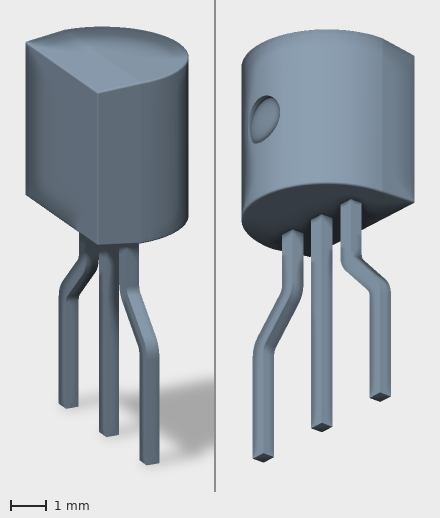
import cadquery as cq
import math

total_height = 11.29
lead_span = 5.54

back_radius = 2.4
body_size = 2 * back_radius
front_depth = 1.3
draft_angle = 5.0
edge_radius = 0.06

dimple_radius = 0.7
dimple_depth = 0.2

lead_width = 0.46
lead_thickness = 0.4
lead_embed = 0.23
inner_bend_radius = 0.3
bend_angle = math.radians(45)
upper_bend_z = 4.89

body_bottom = total_height - body_size
body_middle = total_height - body_size / 2
lead_top = body_bottom + lead_embed
lead_center_y = lead_thickness / 2

lead_pitch = (lead_span - lead_width) / 4


def make_body():
    back = (
        cq.Workplane("XY", origin=(0, 0, body_bottom))
        .moveTo(-back_radius, 0)
        .threePointArc((0, back_radius), (back_radius, 0))
        .close()
        .extrude(body_size)
        .edges("%CIRCLE")
        .fillet(edge_radius)
    )
    front = (
        cq.Workplane("XZ", origin=(0, 0, body_middle))
        .rect(body_size, body_size)
        .extrude(front_depth, taper=draft_angle)
        .edges("not >Y")
        .fillet(edge_radius)
    )
    return back.union(front)


def cut_dimple(body):
    dimple = (
        cq.Workplane("XZ", origin=(0, back_radius - dimple_depth, body_middle))
        .circle(dimple_radius)
        .extrude(-2 * dimple_depth)
    )
    return body.cut(dimple)


def make_straight_lead():
    return cq.Workplane("XY", origin=(0, lead_center_y, 0)).rect(lead_width, lead_thickness).extrude(lead_top)


def make_bent_lead(side):
    """Joggled lead; side is -1 for the lead on -X and +1 for the lead on +X."""
    bend_radius = inner_bend_radius + lead_width / 2
    bend_shift = bend_radius * (1 - math.cos(bend_angle))
    bend_drop = bend_radius * math.sin(bend_angle)
    slope_shift = lead_pitch - 2 * bend_shift
    slope_drop = slope_shift / math.tan(bend_angle)

    top_x = lead_pitch
    foot_x = 2 * lead_pitch
    slope_top = (side * (top_x + bend_shift), upper_bend_z - bend_drop)
    slope_end = (side * (foot_x - bend_shift), slope_top[1] - slope_drop)
    lower_bend_z = slope_end[1] - bend_drop
    centerline = (
        cq.Workplane("XZ", origin=(0, lead_center_y, 0))
        .moveTo(side * top_x, lead_top)
        .lineTo(side * top_x, upper_bend_z)
        .tangentArcPoint(slope_top, relative=False)
        .lineTo(*slope_end)
        .tangentArcPoint((side * foot_x, lower_bend_z), relative=False)
        .lineTo(side * foot_x, 0)
    )
    return (
        cq.Workplane("XY", origin=(side * top_x, lead_center_y, lead_top))
        .rect(lead_width, lead_thickness)
        .sweep(centerline)
    )


result = cut_dimple(make_body()).union(make_straight_lead())
for side in (-1, 1):
    result = result.union(make_bent_lead(side))